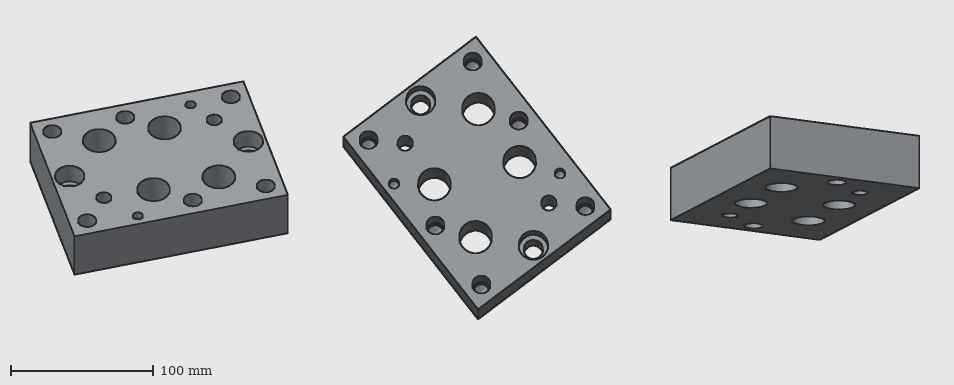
import cadquery as cq
import math

WIDTH = 117.5
LENGTH = 155.5
HEIGHT = 38.1

BOLT_SPACING_X = 92.1
BOLT_SPACING_Y = 130.2
MIDDLE_BOLT_OFFSET = 53.2
THREAD_DIAMETER = 12.8
THREAD_DEPTH = 23.3
TAP_DRILL_DIAMETER = 10.7
TAP_DRILL_DEPTH = 28.0

PIN_DIAMETER = 7.2
PIN_DEPTH = 9.3
LEFT_PIN_OFFSET_Y = 29.4
RIGHT_PIN_OFFSET_X = 4.8
RIGHT_PIN_OFFSET_Y = 35.6

PORT_DIAMETER = 23.0
PORT_INSET_X = 17.5
PORT_OFFSET_Y = 29.4
PILOT_DIAMETER = 10.7
PILOT_INSET_X = 19.0
PILOT_INSET_Y = 17.5

MOUNT_DIAMETER = 13.5
MOUNT_HEAD_DIAMETER = 20.7
MOUNT_HEAD_DEPTH = 15.5

DRILL_POINT_ANGLE = 118.0

RIGHT_COLUMN = BOLT_SPACING_X / 2
LEFT_COLUMN = -RIGHT_COLUMN
REAR_ROW = BOLT_SPACING_Y / 2
FRONT_ROW = -REAR_ROW


def with_opposite(x, y):
    """A point and its half-turn copy about the block centre."""
    return [(x, y), (-x, -y)]


def bore(points, diameter, depth):
    """Flat-bottomed cylinders running down from the top face."""
    return (
        cq.Workplane("XY", origin=(0, 0, HEIGHT))
        .pushPoints(points)
        .circle(diameter / 2)
        .extrude(-depth)
    )


def drilled_hole(x, y, diameter, depth):
    """Blind hole from the top face; depth is measured to the start of the conical point."""
    radius = diameter / 2
    point_height = radius / math.tan(math.radians(DRILL_POINT_ANGLE / 2))
    return (
        cq.Workplane("XZ")
        .moveTo(0, HEIGHT)
        .lineTo(radius, HEIGHT)
        .lineTo(radius, HEIGHT - depth)
        .lineTo(0, HEIGHT - depth - point_height)
        .close()
        .revolve(360, (0, 0, 0), (0, 1, 0))
        .translate((x, y, 0))
    )


block = cq.Workplane("XY").box(WIDTH, LENGTH, HEIGHT, centered=(True, True, False))

ports = with_opposite(RIGHT_COLUMN - PORT_INSET_X, REAR_ROW - PORT_OFFSET_Y)
ports += with_opposite(RIGHT_COLUMN - PORT_INSET_X, FRONT_ROW + MIDDLE_BOLT_OFFSET)
pilots = with_opposite(LEFT_COLUMN + PILOT_INSET_X, REAR_ROW - PILOT_INSET_Y)
block = block.cut(bore(ports, PORT_DIAMETER, HEIGHT))
block = block.cut(bore(pilots, PILOT_DIAMETER, HEIGHT))

mounts = with_opposite(0, REAR_ROW)
block = block.cut(bore(mounts, MOUNT_DIAMETER, HEIGHT))
block = block.cut(bore(mounts, MOUNT_HEAD_DIAMETER, MOUNT_HEAD_DEPTH))

bolts = with_opposite(RIGHT_COLUMN, REAR_ROW)
bolts += with_opposite(RIGHT_COLUMN, FRONT_ROW)
bolts += with_opposite(LEFT_COLUMN, FRONT_ROW + MIDDLE_BOLT_OFFSET)
block = block.cut(bore(bolts, THREAD_DIAMETER, THREAD_DEPTH))
for bolt_x, bolt_y in bolts:
    block = block.cut(drilled_hole(bolt_x, bolt_y, TAP_DRILL_DIAMETER, TAP_DRILL_DEPTH))

pins = [
    (LEFT_COLUMN, REAR_ROW - LEFT_PIN_OFFSET_Y),
    (RIGHT_COLUMN + RIGHT_PIN_OFFSET_X, FRONT_ROW + RIGHT_PIN_OFFSET_Y),
]
for pin_x, pin_y in pins:
    block = block.cut(drilled_hole(pin_x, pin_y, PIN_DIAMETER, PIN_DEPTH))

result = block